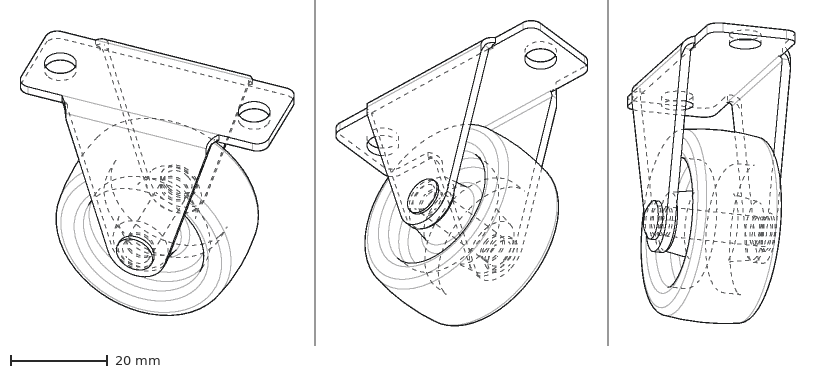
import cadquery as cq
import math


plate_length = 55.0
sheet = 2.0
bend_radius = 2.4
bend_inner_radius = 0.9
fork_width = 24.0
plate_width = fork_width - 2 * bend_radius
plate_corner_radius = 2.6
plate_top = 35.0
mount_hole_diameter = 6.55
mount_hole_spacing = 43.0
leg_end_radius = 6.5
leg_top_half_width = 16.05
bend_half_length = 17.45
bend_end_half_length = 15.55
bend_end_height = 1.45
relief_radius = 1.45

wheel_radius = 20.0
wheel_width = 18.2
tread_edge_radius = 19.4
tread_half_width = 7.7
shoulder_radius = 17.9
rim_radius = 13.4
rim_fillet = 1.5
web_half_thickness = 3.0
web_fillet = 1.4
hub_length = 19.0
hub_end_radius = 6.1
hub_root_radius = 7.2
hub_fillet = 1.45

axle_radius = 3.0
head_radius = 4.0
front_head_rim = 1.0
front_head_dome = 1.55
back_head_rim = 0.55
back_head_dome = 0.95


def bent_channel():
    """Inverted U of sheet as long as the bends, with its rounded outer and inner corners."""
    height = plate_top + leg_end_radius
    outer = (
        cq.Workplane("XY")
        .box(2 * bend_half_length, fork_width, height, centered=(True, True, False))
        .translate((0, 0, -leg_end_radius))
        .edges("|X and >Z").fillet(bend_radius)
    )
    inner = (
        cq.Workplane("XY")
        .box(2 * bend_half_length, fork_width - 2 * sheet, height - sheet, centered=(True, True, False))
        .translate((0, 0, -leg_end_radius))
        .edges("|X and >Z").fillet(bend_inner_radius)
    )
    return outer.cut(inner)


def leg_outline():
    """Prism along Y: the tapered legs, tangent to the round end, with a concave corner at the bend."""
    leg_top = plate_top - bend_radius
    reach = math.hypot(leg_top_half_width, leg_top)
    normal = math.atan2(leg_top, leg_top_half_width) - math.acos(leg_end_radius / reach)
    tangent_x = leg_end_radius * math.cos(normal)
    tangent_z = leg_end_radius * math.sin(normal)
    corner_z = plate_top - bend_end_height
    corner_x = leg_top_half_width + (leg_top - corner_z) * math.tan(normal)
    solid = (
        cq.Workplane("XZ")
        .moveTo(-bend_half_length, plate_top)
        .lineTo(bend_half_length, plate_top)
        .lineTo(bend_half_length, corner_z)
        .lineTo(corner_x, corner_z)
        .lineTo(tangent_x, tangent_z)
        .threePointArc((0, -leg_end_radius), (-tangent_x, tangent_z))
        .lineTo(-corner_x, corner_z)
        .lineTo(-bend_half_length, corner_z)
        .close()
        .extrude(fork_width / 2, both=True)
    )
    for side in (-1, 1):
        corner = cq.selectors.NearestToPointSelector((side * corner_x, 0, corner_z))
        solid = solid.edges(corner).fillet(relief_radius)
    return solid


def bend_outline():
    """Prism along Z: the bends narrow in a straight line towards the outer leg faces."""
    half_plate = plate_width / 2
    half_fork = fork_width / 2
    return (
        cq.Workplane("XY")
        .workplane(offset=-leg_end_radius)
        .polyline([
            (bend_end_half_length, half_fork),
            (bend_half_length, half_plate),
            (bend_half_length, -half_plate),
            (bend_end_half_length, -half_fork),
            (-bend_end_half_length, -half_fork),
            (-bend_half_length, -half_plate),
            (-bend_half_length, half_plate),
            (-bend_end_half_length, half_fork),
        ])
        .close()
        .extrude(plate_top + leg_end_radius)
    )


def make_bracket():
    plate = (
        cq.Workplane("XY")
        .workplane(offset=plate_top - sheet)
        .rect(plate_length, plate_width)
        .extrude(sheet)
        .edges("|Z").fillet(plate_corner_radius)
    )
    mount_holes = (
        cq.Workplane("XY")
        .workplane(offset=plate_top - sheet)
        .pushPoints([(-mount_hole_spacing / 2, 0), (mount_hole_spacing / 2, 0)])
        .circle(mount_hole_diameter / 2)
        .extrude(sheet)
    )
    axle_hole = cq.Workplane("XZ").circle(axle_radius).extrude(fork_width / 2, both=True)
    folded = bent_channel().intersect(leg_outline()).intersect(bend_outline())
    return plate.union(folded).cut(mount_holes).cut(axle_hole)


def round_midpoint(start, end, corner):
    """Midpoint of a square-corner fillet that runs from start to end around a sharp corner."""
    middle_x = (start[0] + end[0]) / 2
    middle_y = (start[1] + end[1]) / 2
    bulge = math.sqrt(2) - 1
    return (middle_x + (corner[0] - middle_x) * bulge, middle_y + (corner[1] - middle_y) * bulge)


def wheel_blank():
    """Crowned drum with rounded shoulders, its middle raised on both sides to the hub length."""
    side_face = wheel_width / 2
    hub_face = hub_length / 2
    tread_edge = (tread_edge_radius, tread_half_width)
    shoulder = (shoulder_radius, side_face)
    shoulder_mid = round_midpoint(tread_edge, shoulder, (tread_edge_radius, side_face))
    rim_edge_radius = rim_radius + rim_fillet
    return (
        cq.Workplane("XY")
        .moveTo(axle_radius, -hub_face)
        .lineTo(rim_edge_radius, -hub_face)
        .lineTo(rim_edge_radius, -side_face)
        .lineTo(shoulder_radius, -side_face)
        .threePointArc((shoulder_mid[0], -shoulder_mid[1]), (tread_edge_radius, -tread_half_width))
        .threePointArc((wheel_radius, 0), tread_edge)
        .threePointArc(shoulder_mid, shoulder)
        .lineTo(rim_edge_radius, side_face)
        .lineTo(rim_edge_radius, hub_face)
        .lineTo(axle_radius, hub_face)
        .close()
        .revolve(360, (0, 0, 0), (0, 1, 0))
    )


def side_recess():
    """Ring cut into the +Y side between the rim and the tapered hub, down to the web."""
    side_face = wheel_width / 2
    hub_face = hub_length / 2
    rim_edge = (rim_radius + rim_fillet, side_face)
    rim_wall = (rim_radius, side_face - rim_fillet)
    rim_mid = round_midpoint(rim_edge, rim_wall, (rim_radius, side_face))
    rim_root = (rim_radius, web_half_thickness + web_fillet)
    web_outer = (rim_radius - web_fillet, web_half_thickness)
    web_mid = round_midpoint(rim_root, web_outer, (rim_radius, web_half_thickness))

    taper = math.atan2(hub_root_radius - hub_end_radius, hub_face - web_half_thickness)
    tangent_length = hub_fillet * math.tan((math.pi / 2 - taper) / 2)
    web_inner = (hub_root_radius + tangent_length, web_half_thickness)
    hub_wall = (
        hub_root_radius - tangent_length * math.sin(taper),
        web_half_thickness + tangent_length * math.cos(taper),
    )
    to_corner = (math.pi / 2 + taper) / 2
    hub_mid = (
        web_inner[0] - hub_fillet * math.cos(to_corner),
        web_half_thickness + hub_fillet * (1 - math.sin(to_corner)),
    )
    return (
        cq.Workplane("XY")
        .moveTo(rim_edge[0], hub_face)
        .lineTo(*rim_edge)
        .threePointArc(rim_mid, rim_wall)
        .lineTo(*rim_root)
        .threePointArc(web_mid, web_outer)
        .lineTo(*web_inner)
        .threePointArc(hub_mid, hub_wall)
        .lineTo(hub_end_radius, hub_face)
        .close()
        .revolve(360, (0, 0, 0), (0, 1, 0))
    )


def make_wheel():
    recess = side_recess()
    return wheel_blank().cut(recess).cut(recess.mirror("XZ"))


def dome_midpoint(base_y, rise):
    """Point halfway along the arc of a dome that starts at base_y and rises to the axis."""
    sphere = (head_radius ** 2 + rise ** 2) / (2 * abs(rise))
    half_angle = math.asin(head_radius / sphere) / 2
    sag = math.copysign(sphere * (1 - math.cos(half_angle)), rise)
    return (sphere * math.sin(half_angle), base_y + rise - sag)


def make_axle():
    """Rivet with a domed head outside each leg, revolved about the Y axis."""
    leg_face = fork_width / 2
    front_rim = -leg_face - front_head_rim
    back_rim = leg_face + back_head_rim
    return (
        cq.Workplane("XY")
        .moveTo(0, front_rim - front_head_dome)
        .threePointArc(dome_midpoint(front_rim, -front_head_dome), (head_radius, front_rim))
        .lineTo(head_radius, -leg_face)
        .lineTo(axle_radius, -leg_face)
        .lineTo(axle_radius, leg_face)
        .lineTo(head_radius, leg_face)
        .lineTo(head_radius, back_rim)
        .threePointArc(dome_midpoint(back_rim, back_head_dome), (0, back_rim + back_head_dome))
        .close()
        .revolve(360, (0, 0, 0), (0, 1, 0))
    )


bracket = make_bracket()
wheel = make_wheel()
axle = make_axle()

result = cq.Compound.makeCompound([
    *bracket.solids().vals(),
    *wheel.solids().vals(),
    *axle.solids().vals(),
])